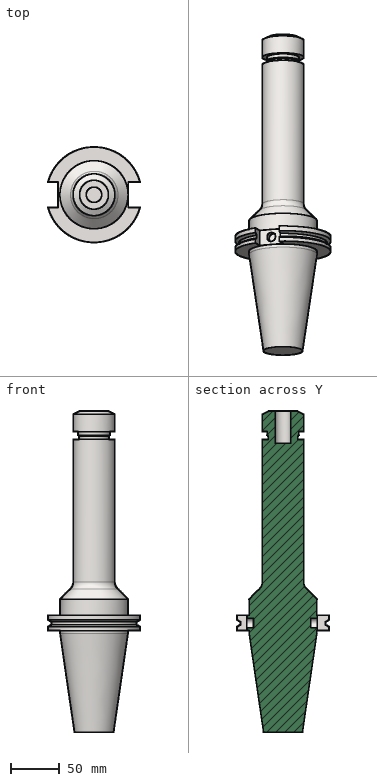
import cadquery as cq
import math

taper_height = 101.7
taper_ratio = 7 / 24
gauge_radius = 35.0
taper_tip_radius = gauge_radius - taper_height * taper_ratio / 2

flange_radius = 49.2
flange_bottom = 104.7
flange_thickness = 16.0
flange_top = flange_bottom + flange_thickness
upper_lip = 5.0
lower_lip = 4.0
groove_depth = 3.5
groove_flank_rise = groove_depth * math.tan(math.radians(30))
groove_root_radius = flange_radius - groove_depth
groove_bottom = flange_bottom + lower_lip
groove_top = flange_top - upper_lip

slot_width = 25.8
left_slot_floor = 37.0
right_slot_floor = 35.3
slot_hole_radius = 4.5
slot_hole_depth = 6.5

shaft_radius = 21.5
shaft_top = 301.0
shoulder_top = 137.0
shoulder_fillet = 10.0
cone_angle = math.radians(45)
cone_top_radius = shaft_radius + shoulder_fillet * (1 - math.cos(cone_angle))
cone_top = shoulder_top + (gauge_radius - cone_top_radius) / math.tan(cone_angle)
fillet_top = cone_top + shoulder_fillet * math.sin(cone_angle)
fillet_mid_radius = shaft_radius + shoulder_fillet * (1 - math.cos(cone_angle / 2))
fillet_mid = fillet_top - shoulder_fillet * math.sin(cone_angle / 2)

total_height = 330.2
lower_neck_radius = 15.5
upper_neck_radius = 16.5
neck_step = 304.5
neck_chamfer = upper_neck_radius - lower_neck_radius
nut_height = 21.0
nut_bottom = total_height - nut_height
nut_bevel_height = 3.3
nut_face_radius = 15.0
bore_radius = 8.0
bore_depth = 33.0


def turned_body():
    """Revolve the half section, drawn as radius against height."""
    return (
        cq.Workplane("XZ")
        .lineTo(taper_tip_radius, 0)
        .lineTo(gauge_radius, taper_height)
        .lineTo(gauge_radius, flange_bottom)
        .lineTo(flange_radius, flange_bottom)
        .lineTo(flange_radius, groove_bottom)
        .lineTo(groove_root_radius, groove_bottom + groove_flank_rise)
        .lineTo(groove_root_radius, groove_top - groove_flank_rise)
        .lineTo(flange_radius, groove_top)
        .lineTo(flange_radius, flange_top)
        .lineTo(gauge_radius, flange_top)
        .lineTo(gauge_radius, shoulder_top)
        .lineTo(cone_top_radius, cone_top)
        .threePointArc((fillet_mid_radius, fillet_mid), (shaft_radius, fillet_top))
        .lineTo(shaft_radius, shaft_top)
        .lineTo(lower_neck_radius, shaft_top)
        .lineTo(lower_neck_radius, neck_step)
        .lineTo(upper_neck_radius, neck_step + neck_chamfer)
        .lineTo(upper_neck_radius, nut_bottom)
        .lineTo(shaft_radius, nut_bottom)
        .lineTo(shaft_radius, total_height - nut_bevel_height)
        .lineTo(nut_face_radius, total_height)
        .lineTo(0, total_height)
        .close()
        .revolve(360, (0, 0, 0), (0, 1, 0))
    )


def drive_slot(side, floor):
    """Slot through the flange and the blind hole in its floor; side is -1 or +1 along X."""
    slot_middle = flange_bottom + flange_thickness / 2
    slot_depth = flange_radius - floor
    slot = cq.Workplane("XY").box(slot_depth, slot_width, flange_thickness)
    slot = slot.translate((side * (floor + slot_depth / 2), 0, slot_middle))
    hole = cq.Workplane("YZ").circle(slot_hole_radius).extrude(-side * slot_hole_depth)
    return slot.union(hole.translate((side * floor, 0, slot_middle)))


def nut_bore():
    """Blind bore entering from the nut face."""
    bore_floor = total_height - bore_depth
    return cq.Workplane("XY").workplane(offset=bore_floor).circle(bore_radius).extrude(bore_depth)


result = (
    turned_body()
    .cut(drive_slot(-1, left_slot_floor))
    .cut(drive_slot(1, right_slot_floor))
    .cut(nut_bore())
)